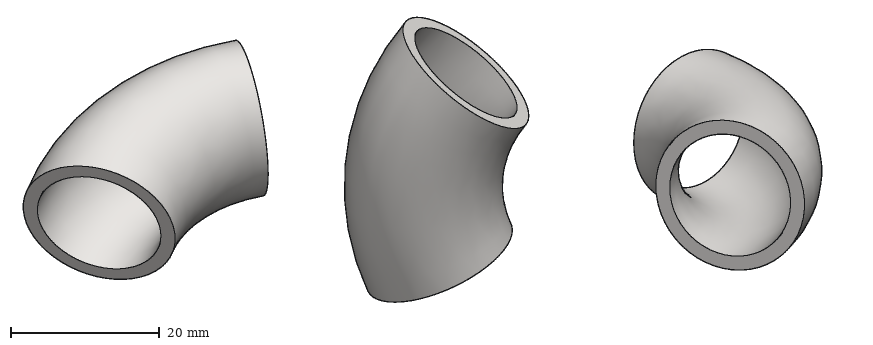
import cadquery as cq

outer_diameter = 21.3
wall_thickness = 2.0
bend_radius = 28.0
bend_angle = 60.0

inner_diameter = outer_diameter - 2 * wall_thickness


def make_elbow():
    """Sweep the ring section from the XZ plane toward +Y, bending toward +X."""
    ring = cq.Workplane("XZ").circle(outer_diameter / 2).circle(inner_diameter / 2)
    axis_start = (bend_radius, 1)
    axis_end = (bend_radius, 0)
    return ring.revolve(bend_angle, axis_start, axis_end)


result = make_elbow()